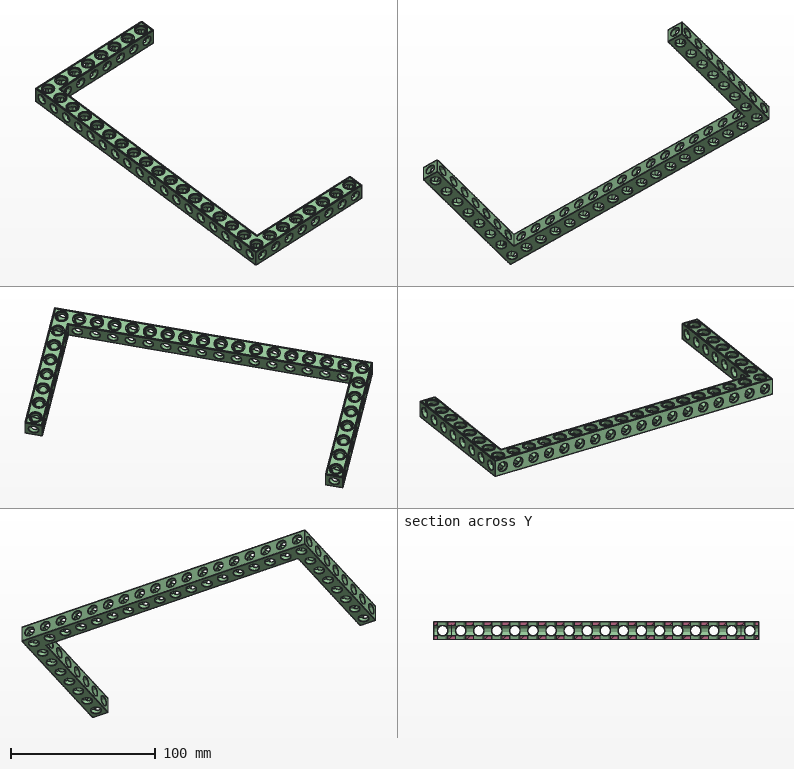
import cadquery as cq

length = 225.0
holes_along_beam = 18
holes_along_arm = 8
hole_diameter = 7.0
chamfer_size = 0.3

panel_depth = 0.2
rim_width = 1.0
collar_diameter = 9.2

pitch = length / holes_along_beam
depth = pitch * holes_along_arm
half_pitch = pitch / 2
hole_radius = hole_diameter / 2


def stations(count):
    """Hole centre distances along a row of cells, from the start of the row."""
    return [half_pitch + pitch * i for i in range(count)]


beam_stations = stations(holes_along_beam)
arm_stations = stations(holes_along_arm)
arm_centres = (beam_stations[0], beam_stations[-1])
beam_cells = [(x, half_pitch) for x in beam_stations]
arm_cells = [(x, y) for x in arm_centres for y in arm_stations[1:]]
cells = beam_cells + arm_cells


def u_prism(inset, bottom, height):
    """U-shaped prism whose outline lies the given inset inside the frame outline."""
    left, right = inset, length - inset
    front, back = inset, depth - inset
    inner_left, inner_right = pitch - inset, length - pitch + inset
    inner_front = pitch - inset
    outline = [
        (left, front),
        (right, front),
        (right, back),
        (inner_right, back),
        (inner_right, inner_front),
        (inner_left, inner_front),
        (inner_left, back),
        (left, back),
    ]
    return cq.Workplane("XY").workplane(offset=bottom).polyline(outline).close().extrude(height)


def make_frame():
    """U-shaped frame of square section, chamfered on all edges but the two inside corners."""
    frame = u_prism(0, 0, pitch)
    return frame.edges("#Z or (|Z and (<X or >X or >Y))").chamfer(chamfer_size)


def make_panel():
    """Volume of the sunken top panel, with the collars round the holes left out."""
    panel = u_prism(rim_width, pitch - panel_depth, panel_depth)
    collars = cq.Workplane("XY").pushPoints(cells).circle(collar_diameter / 2).extrude(pitch)
    return panel.cut(collars)


def make_drill():
    """Cutter along Z for one cell: a straight hole flared by a chamfer at both mouths."""
    mouth_radius = hole_radius + chamfer_size
    profile = [
        (0, 0),
        (mouth_radius, 0),
        (hole_radius, chamfer_size),
        (hole_radius, pitch - chamfer_size),
        (mouth_radius, pitch),
        (0, pitch),
    ]
    return cq.Workplane("XZ").polyline(profile).close().revolve(360, (0, 0), (0, 1)).val()


def drill_cells():
    """Drills through the cells along Z, Y and X."""
    drill_z = make_drill()
    drill_y = drill_z.rotate((0, 0, 0), (1, 0, 0), -90)
    drill_x = drill_z.rotate((0, 0, 0), (0, 1, 0), 90)
    arm_ends = [(x, depth - pitch) for x in arm_centres]
    arm_sides = [(x, y) for x in (0, length - pitch) for y in arm_stations]
    along_z = [drill_z.translate((x, y, 0)) for x, y in cells]
    along_y = [drill_y.translate((x, 0, half_pitch)) for x in beam_stations]
    along_y_ends = [drill_y.translate((x, y, half_pitch)) for x, y in arm_ends]
    along_x = [drill_x.translate((x, y, half_pitch)) for x, y in arm_sides]
    return [along_z, along_y + along_y_ends, along_x]


def long_bores():
    """Plain bores running the whole length of both arms and of the cross beam."""
    arm_bore = (
        cq.Workplane("XZ")
        .pushPoints([(x, half_pitch) for x in arm_centres])
        .circle(hole_radius)
        .extrude(-depth)
    )
    beam_bore = cq.Workplane("YZ").center(half_pitch, half_pitch).circle(hole_radius).extrude(length)
    return arm_bore.vals() + beam_bore.vals()


body = make_frame().cut(make_panel()).val()
for cutters in drill_cells() + [long_bores()]:
    body = body.cut(*cutters)

result = cq.Workplane(body).solids()